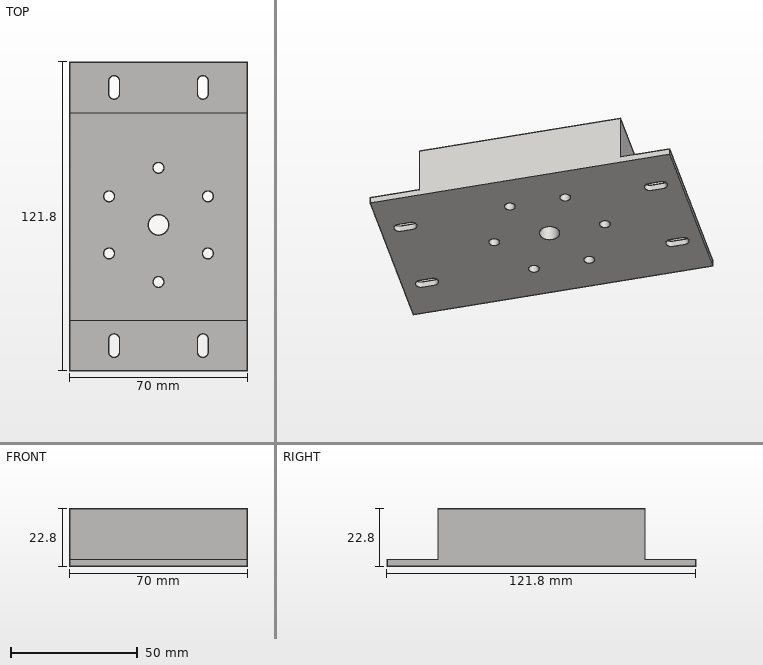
import cadquery as cq

width = 70.0
flange_length = 20.0
flange_thickness = 2.8
block_length = 81.8
block_rise = 20.0
total_length = block_length + 2 * flange_length
total_height = flange_thickness + block_rise

center_hole_diameter = 8.0
screw_hole_diameter = 4.2
screw_circle_radius = 22.5
screw_count = 6
first_screw_angle = 90.0
full_turn = 360.0
hole_pattern_y = -3.3

slot_angle = 90.0
slot_width = 4.2
slot_length = 9.2
slot_offset_x = width / 4
slot_offset_y = (block_length + flange_length) / 2


def make_body():
    """Flat base plate with a full-width block on it, leaving a flange at each end."""
    plate = cq.Workplane("XY").box(width, total_length, flange_thickness, centered=(True, True, False))
    block = cq.Workplane("XY").box(width, block_length, total_height, centered=(True, True, False))
    return plate.union(block)


def make_block_holes():
    """Cutters for the center hole and the ring of screw holes around it, shifted along Y."""
    center = cq.Workplane("XY").circle(center_hole_diameter / 2).extrude(total_height)
    screws = (
        cq.Workplane("XY")
        .polarArray(screw_circle_radius, first_screw_angle, full_turn, screw_count)
        .circle(screw_hole_diameter / 2)
        .extrude(total_height)
    )
    return center.union(screws).translate((0, hole_pattern_y, 0))


def make_mounting_slots():
    """Cutters for two slots in each flange."""
    return (
        cq.Workplane("XY")
        .rarray(2 * slot_offset_x, 2 * slot_offset_y, 2, 2)
        .slot2D(slot_length, slot_width, slot_angle)
        .extrude(flange_thickness)
    )


result = make_body().cut(make_block_holes()).cut(make_mounting_slots())